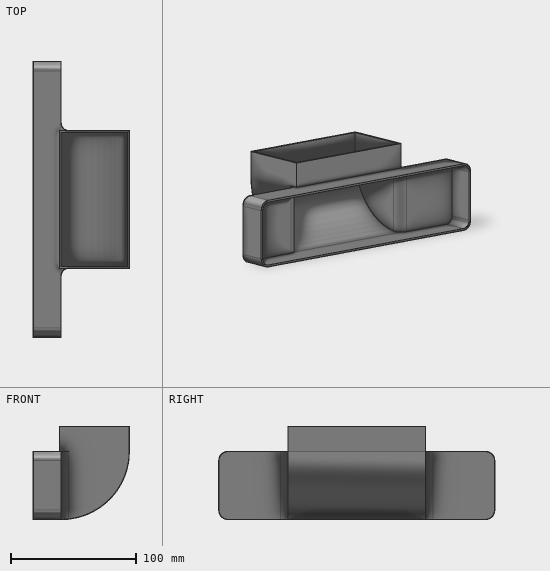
import cadquery as cq

wall = 1.5
flange_length = 220.5
flange_height = 54.5
flange_depth = 22.5
corner_radius = 7.5
duct_width = 110.0
collar_height = 20.0
neck_fillet = 6.0

total_height = flange_height + collar_height
bend_radius = flange_height
bend_x = flange_depth
entry_x = flange_depth / 2
collar_x = bend_x - wall


def flange(inset):
    """Rounded mouth block along X, shrunk by inset on every side except the open mouth."""
    depth = flange_depth - inset
    return (
        cq.Workplane("XY")
        .box(depth, flange_length - 2 * inset, flange_height - 2 * inset)
        .edges("|X")
        .fillet(corner_radius - inset)
        .translate((depth / 2, 0, flange_height / 2))
    )


def elbow(inset, width):
    """Bend from the flange up to the collar rim: flat floor, quarter bend, straight collar."""
    radius = bend_radius - inset
    diagonal = radius * 0.5 ** 0.5
    step_z = flange_height - inset
    return (
        cq.Workplane("XZ", origin=(0, width / 2, 0))
        .moveTo(entry_x, inset)
        .lineTo(bend_x, inset)
        .threePointArc(
            (bend_x + diagonal, bend_radius - diagonal),
            (bend_x + radius, bend_radius),
        )
        .lineTo(bend_x + radius, total_height)
        .lineTo(collar_x + inset, total_height)
        .lineTo(collar_x + inset, step_z)
        .lineTo(entry_x, step_z)
        .close()
        .extrude(width)
    )


def neck_flares(inset):
    """Concave fillets joining the flange back to both elbow sides, trimmed to the bend below."""
    back_x = flange_depth - inset
    radius = neck_fillet + inset
    side_y = duct_width / 2 - inset
    diagonal = radius * (1 - 0.5 ** 0.5)
    flare = (
        cq.Workplane("XY", origin=(0, 0, inset))
        .moveTo(back_x, side_y)
        .lineTo(back_x + radius, side_y)
        .threePointArc((back_x + diagonal, side_y + diagonal), (back_x, side_y + radius))
        .close()
        .extrude(flange_height - 2 * inset)
    )
    flare = flare.intersect(elbow(inset, flange_length))
    return flare.union(flare.mirror("XZ"))


def duct_body(inset):
    """Solid envelope of the whole duct, offset inward by inset."""
    bend = elbow(inset, duct_width - 2 * inset)
    return flange(inset).union(bend).union(neck_flares(inset))


result = duct_body(0).cut(duct_body(wall))